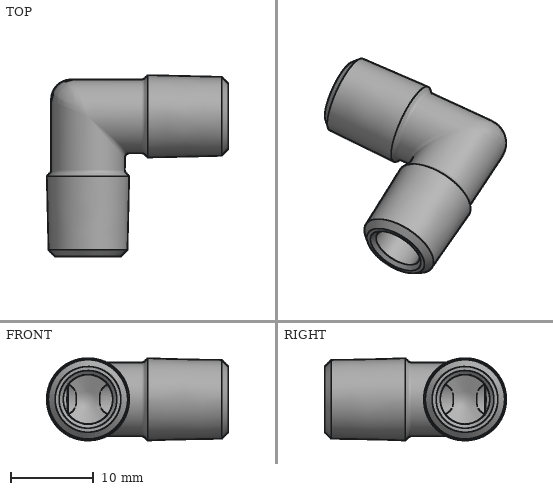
import cadquery as cq
import math

overall_length = 22.0
collar_diameter = 10.01
collar_radius = collar_diameter / 2
arm_length = overall_length - collar_radius

neck_radius = 4.5
collar_start = 7.25
taper_end_radius = 4.8
tip_radius = 3.98
tip_chamfer = taper_end_radius - tip_radius
neck_fillet = 0.5

outer_corner_radius = 2.5
inner_corner_radius = 0.5
seam_tolerance = 0.0002

bore_radius = 3.0
bore_mouth_radius = 3.5
bore_mouth_chamfer = bore_mouth_radius - bore_radius
bore_overrun = 2.38
bore_cone_height = 1.17


def place_on_minus_y(arm):
    """Flip an X arm about the mitre line y = -x."""
    return arm.rotate((0, 0, 0), (1, -1, 0), 180)


def revolve_about_x(profile):
    return profile.close().revolve(360, (0, 0, 0), (1, 0, 0))


def make_neck():
    """Plain cylinder along X, cut back to the mitre plane."""
    cylinder = cq.Workplane("YZ").workplane(offset=-arm_length).circle(neck_radius)
    cylinder = cylinder.extrude(arm_length + collar_start)
    reach = 2 * arm_length
    mitre_side = (
        cq.Workplane("XY").workplane(offset=-collar_radius)
        .polyline([(-reach, reach), (reach, reach), (reach, -reach)]).close()
        .extrude(2 * collar_radius)
    )
    return cylinder.intersect(mitre_side)


def round_corner(elbow, corner_x, blend_radius):
    """Round the mitre seam on the side of the line y = x where corner_x lies.

    The seam is filleted on the upper half only, then mirrored, so that the
    fillet runs from the pole of the seam down to the midplane.
    """
    side = [(-arm_length, -arm_length), (arm_length, arm_length), (corner_x, -corner_x)]
    side_block = cq.Workplane("XY").polyline(side).close().extrude(collar_radius)
    quarter = elbow.intersect(side_block)
    seam = [
        edge for edge in quarter.edges("%ELLIPSE").vals()
        if abs(edge.Center().x + edge.Center().y) < seam_tolerance
    ]
    rounded = quarter.newObject(seam).fillet(blend_radius)
    return rounded.union(rounded.mirror("XY"))


def make_collar():
    """Tapered end with a filleted 45 degree shoulder and a chamfered tip."""
    half_slope = math.radians(45) / 2
    shoulder_foot = collar_start - (collar_radius - neck_radius)
    tangent_length = neck_fillet * math.tan(half_slope)
    fillet_start = shoulder_foot - tangent_length
    slope_step = tangent_length * math.cos(2 * half_slope)
    fillet_mid = (
        fillet_start + neck_fillet * math.sin(half_slope),
        neck_radius + neck_fillet * (1 - math.cos(half_slope)),
    )
    profile = (
        cq.Workplane("XY")
        .moveTo(fillet_start, 0)
        .lineTo(fillet_start, neck_radius)
        .threePointArc(fillet_mid, (shoulder_foot + slope_step, neck_radius + slope_step))
        .lineTo(collar_start, collar_radius)
        .lineTo(arm_length - tip_chamfer, taper_end_radius)
        .lineTo(arm_length, tip_radius)
        .lineTo(arm_length, 0)
    )
    return revolve_about_x(profile)


def make_bore():
    """Conical-bottomed hole with a chamfered mouth."""
    profile = (
        cq.Workplane("XY")
        .moveTo(-bore_overrun - bore_cone_height, 0)
        .lineTo(-bore_overrun, bore_radius)
        .lineTo(arm_length - bore_mouth_chamfer, bore_radius)
        .lineTo(arm_length, bore_mouth_radius)
        .lineTo(arm_length, 0)
    )
    return revolve_about_x(profile)


neck = make_neck()
mitred_necks = neck.union(place_on_minus_y(neck))
outer_half = round_corner(mitred_necks, -arm_length, outer_corner_radius)
inner_half = round_corner(mitred_necks, arm_length, inner_corner_radius)

collar = make_collar()
body = outer_half.union(inner_half).union(collar).union(place_on_minus_y(collar))

bore = make_bore()
result = body.cut(bore).cut(place_on_minus_y(bore))